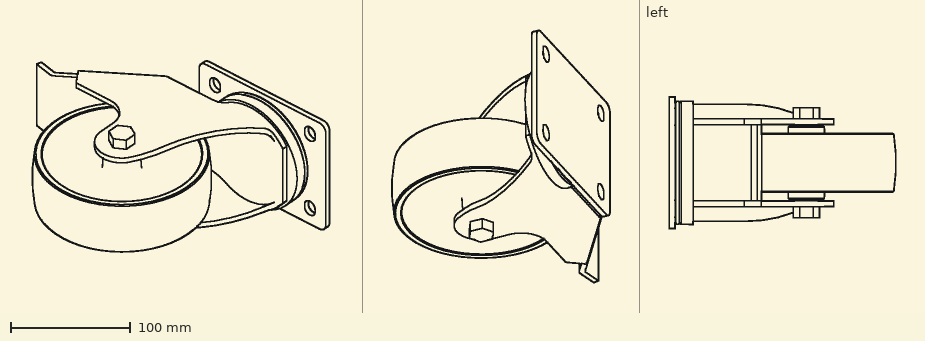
import cadquery as cq
import math


plate_top = 114.5
plate_length = 140.1
plate_width = 110.0
plate_thickness = 5.0
plate_corner_radius = 7.0
swivel_x = 60.2
slot_spacing_x = 105.0
slot_spacing_z = 76.8
slot_width = 11.5
slot_length = 14.0

ring_radius = 103.2 / 2
upper_ring_height = 3.6
lower_ring_height = 11.5
rim_round = 1.5
lower_ring_bevel = 1.5

sheet = 5.0
crown_top = plate_top - plate_thickness - upper_ring_height - lower_ring_height
crown_underside = crown_top - sheet
wall_inner_z = 31.8
wall_outer_z = wall_inner_z + sheet
bow_radius = 49.0
bow_start_x = 16.7
crown_end_x = 100.3
hub_radius = 23.0
arm_underside = 37.8
arm_tip_x = -83.5
arm_notch_radius = 23.0
front_edge_angle = math.radians(57)
front_edge_fillet = 10.0

pedal_angle = math.radians(35)
pedal_shoulder_x = -36.5
pedal_proud = 2.0
knee_height = 42.2
tip_end_x = -130.2
tip_angle = math.radians(12)

wheel_radius = 75.0
tread_edge_radius = 73.2
wheel_half_width = 24.5
rim_outer_radius = 72.0
rim_inner_radius = 67.5
rim_bevel = 0.8
well_radius = 65.6
well_fillet = 5.2
web_inner_z = 7.5
web_outer_z = 5.0
boss_root_radius = 16.5
boss_top_radius = 15.0
boss_fillet = 2.5
boss_half_width = 30.5
boss_bevel = 0.8

axle_radius = 20.0 / 2
hex_across_flats = 19.3
hex_height = 9.5


def mounting_plate():
    plate = (
        cq.Workplane("XZ", origin=(swivel_x, plate_top, 0))
        .rect(plate_length, plate_width)
        .extrude(plate_thickness)
        .edges("|Y")
        .fillet(plate_corner_radius)
    )
    slots = (
        cq.Workplane("XZ", origin=(swivel_x, plate_top, 0))
        .rect(slot_spacing_x, slot_spacing_z, forConstruction=True)
        .vertices()
        .slot2D(slot_length, slot_width, 90)
        .extrude(plate_thickness)
    )
    return plate.cut(slots)


def swivel_rings():
    """Upper ring with a half-round rim and a lower ring with a bevelled top edge."""
    plate_underside = plate_top - plate_thickness
    ring_split = plate_underside - upper_ring_height
    upper_rim_top = ring_split + 2 * rim_round
    groove_radius = ring_radius - rim_round
    return (
        cq.Workplane("XY")
        .moveTo(0, crown_top)
        .lineTo(ring_radius, crown_top)
        .lineTo(ring_radius, ring_split - lower_ring_bevel)
        .lineTo(groove_radius, ring_split)
        .threePointArc((ring_radius, ring_split + rim_round), (groove_radius, upper_rim_top))
        .lineTo(groove_radius, plate_underside)
        .lineTo(0, plate_underside)
        .close()
        .revolve(360, (0, 0, 0), (0, 1, 0))
        .translate((swivel_x, 0, 0))
    )


def fork_plan(left_x, half_width, head_radius, bottom, height):
    """Straight strip flaring through tangent arcs into a round head, seen along Y."""
    run = swivel_x - bow_start_x
    flare_radius = (run**2 + half_width**2 - head_radius**2) / (2 * (head_radius - half_width))
    flare_centre_z = half_width + flare_radius
    share = head_radius / (head_radius + flare_radius)
    join_x = swivel_x - run * share
    join_z = flare_centre_z * share
    turn = math.atan2(run, flare_centre_z)
    mid_x = bow_start_x + flare_radius * math.sin(turn / 2)
    mid_z = flare_centre_z - flare_radius * math.cos(turn / 2)
    return (
        cq.Workplane("XZ", origin=(0, bottom, 0))
        .moveTo(left_x, -half_width)
        .lineTo(bow_start_x, -half_width)
        .threePointArc((mid_x, -mid_z), (join_x, -join_z))
        .threePointArc((swivel_x + head_radius, 0), (join_x, join_z))
        .threePointArc((mid_x, mid_z), (bow_start_x, half_width))
        .lineTo(left_x, half_width)
        .close()
        .extrude(-height)
    )


def wall_side_profile():
    """Side outline of both walls, extruded across the whole fork width."""
    slope = math.tan(pedal_angle)
    shoulder_x = pedal_shoulder_x + pedal_proud / math.sin(pedal_angle)
    drop = crown_top - arm_underside
    corner_x = (arm_tip_x - slope * (drop - slope * shoulder_x)) / (1 + slope**2)
    corner_y = crown_top - (shoulder_x - corner_x) * slope
    notch_centre = (-hub_radius - arm_notch_radius, arm_underside - arm_notch_radius)
    diagonal = arm_notch_radius * math.sqrt(0.5)
    notch_middle = (notch_centre[0] + diagonal, notch_centre[1] + diagonal)
    tangent_x = hub_radius * math.sin(front_edge_angle)
    tangent_y = -hub_radius * math.cos(front_edge_angle)
    edge_top_x = tangent_x + (crown_underside - tangent_y) / math.tan(front_edge_angle)
    profile = (
        cq.Workplane("XY")
        .moveTo(shoulder_x, crown_top)
        .lineTo(corner_x, corner_y)
        .lineTo(arm_tip_x, arm_underside)
        .lineTo(notch_centre[0], arm_underside)
        .threePointArc(notch_middle, (-hub_radius, notch_centre[1]))
        .lineTo(-hub_radius, 0)
        .threePointArc((0, -hub_radius), (tangent_x, tangent_y))
        .lineTo(edge_top_x, crown_underside)
        .lineTo(crown_end_x, crown_underside)
        .lineTo(crown_end_x, crown_top)
        .close()
        .extrude(bow_radius, both=True)
    )
    crown_corner = cq.selectors.NearestToPointSelector((edge_top_x, crown_underside, 0))
    return profile.edges("|Z").edges(crown_corner).fillet(front_edge_fillet)


def fork():
    bottom = -hub_radius
    height = crown_top - bottom
    inner_radius = bow_radius - sheet
    outside = fork_plan(tip_end_x, wall_outer_z, bow_radius, bottom, height)
    inside = fork_plan(tip_end_x, wall_inner_z, inner_radius, bottom, height)
    walls = outside.cut(inside).intersect(wall_side_profile())
    crown = fork_plan(0, wall_outer_z, bow_radius, crown_underside, sheet)
    beyond_crown = (
        cq.Workplane("XY", origin=(crown_end_x, crown_top, 0))
        .box(bow_radius, height, 2 * bow_radius, centered=(False, True, True))
    )
    return walls.union(crown.cut(beyond_crown))


def pedal():
    """Bent sheet from the crown down the slope to the tip, filling the fork width."""
    knee_x = pedal_shoulder_x - (crown_top - knee_height) / math.tan(pedal_angle)
    inner_shoulder_x = pedal_shoulder_x + sheet * math.tan(pedal_angle / 2)

    def below_knee(angle):
        return (knee_x + sheet * math.sin(angle), knee_height - sheet * math.cos(angle))

    bend_middle = (pedal_angle - tip_angle) / 2
    tip_bottom_start = below_knee(-tip_angle)
    tip_bottom_rise = (tip_bottom_start[0] - tip_end_x) * math.tan(tip_angle)
    tip_bottom = (tip_end_x, tip_bottom_start[1] + tip_bottom_rise)
    tip_top = (
        tip_bottom[0] + sheet * math.sin(tip_angle),
        tip_bottom[1] + sheet * math.cos(tip_angle),
    )
    return (
        cq.Workplane("XY")
        .moveTo(0, crown_top)
        .lineTo(pedal_shoulder_x, crown_top)
        .lineTo(knee_x, knee_height)
        .lineTo(*tip_top)
        .lineTo(*tip_bottom)
        .lineTo(*tip_bottom_start)
        .threePointArc(below_knee(bend_middle), below_knee(pedal_angle))
        .lineTo(inner_shoulder_x, crown_underside)
        .lineTo(0, crown_underside)
        .close()
        .extrude(wall_inner_z, both=True)
    )


def wheel():
    """Crowned tread, recessed web and central boss, revolved about the axle."""
    rim_edge_z = wheel_half_width - rim_bevel
    boss_bevel_z = boss_half_width - boss_bevel
    fillet_offset = 1 - math.sqrt(0.5)
    boss_fillet_middle = (
        boss_root_radius + boss_fillet * fillet_offset,
        web_inner_z + boss_fillet * fillet_offset,
    )
    well_fillet_middle = (
        well_radius - well_fillet * fillet_offset,
        web_outer_z + well_fillet * fillet_offset,
    )
    disc = (
        cq.Workplane("XZ")
        .lineTo(0, boss_half_width)
        .lineTo(boss_top_radius - boss_bevel, boss_half_width)
        .lineTo(boss_top_radius, boss_bevel_z)
        .lineTo(boss_root_radius, web_inner_z + boss_fillet)
        .threePointArc(boss_fillet_middle, (boss_root_radius + boss_fillet, web_inner_z))
        .lineTo(well_radius - well_fillet, web_outer_z)
        .threePointArc(well_fillet_middle, (well_radius, web_outer_z + well_fillet))
        .lineTo(rim_inner_radius - rim_bevel, rim_edge_z)
        .lineTo(rim_inner_radius, wheel_half_width)
        .lineTo(rim_outer_radius, wheel_half_width)
        .lineTo(tread_edge_radius, rim_edge_z)
        .lineTo(tread_edge_radius, 0)
        .close()
        .revolve(360, (0, 0, 0), (0, 1, 0))
    )
    tread = (
        cq.Workplane("XZ")
        .moveTo(rim_outer_radius, -rim_edge_z)
        .lineTo(tread_edge_radius, -rim_edge_z)
        .threePointArc((wheel_radius, 0), (tread_edge_radius, rim_edge_z))
        .lineTo(rim_outer_radius, rim_edge_z)
        .close()
        .revolve(360, (0, 0, 0), (0, 1, 0))
    )
    return disc.union(disc.mirror("XY")).union(tread)


def axle_bolt():
    hex_diameter = hex_across_flats / math.cos(math.pi / 6)
    end_z = wall_outer_z + hex_height
    bolt = cq.Workplane("XY").circle(axle_radius).extrude(wall_outer_z, both=True)
    for start_z in (wall_outer_z, -end_z):
        head = cq.Workplane("XY", origin=(0, 0, start_z)).polygon(6, hex_diameter).extrude(hex_height)
        bolt = bolt.union(head.rotate((0, 0, 0), (0, 0, 1), 90))
    return bolt


result = (
    mounting_plate()
    .union(swivel_rings())
    .union(fork())
    .union(pedal())
    .union(wheel())
    .union(axle_bolt())
)